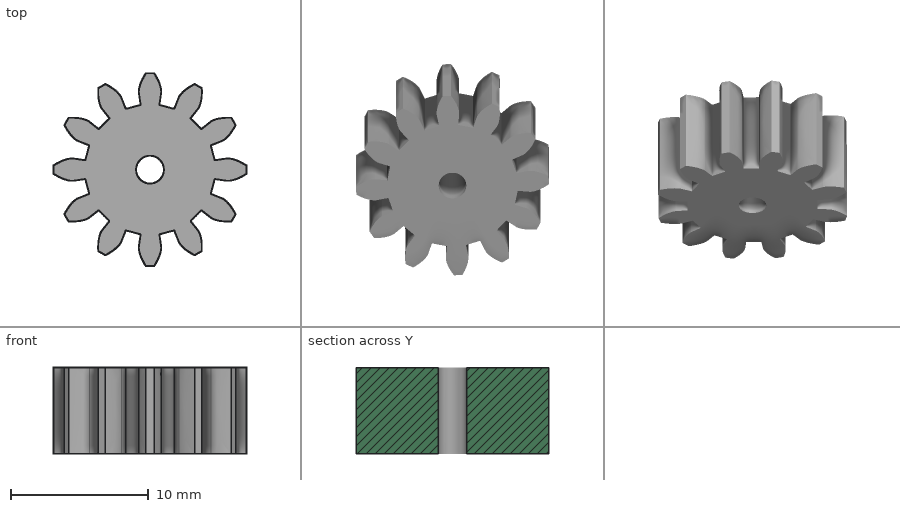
import cadquery as cq
import math

outer_diameter = 13.99
tooth_count = 12
face_width = 6.25
bore_diameter = 2.0
pressure_angle = math.radians(20)
dedendum_factor = 1.25
flank_segments = 6

module = outer_diameter / (tooth_count + 2)
outer_radius = outer_diameter / 2
pitch_radius = module * tooth_count / 2
base_radius = pitch_radius * math.cos(pressure_angle)
root_radius = pitch_radius - dedendum_factor * module
tooth_pitch = 2 * math.pi / tooth_count


def involute(angle):
    """Polar angle swept by the involute at the given pressure angle."""
    return math.tan(angle) - angle


base_half_angle = tooth_pitch / 4 + involute(pressure_angle)
tip_half_angle = base_half_angle - involute(math.acos(base_radius / outer_radius))

tip_corner_radius = outer_radius / math.cos(tip_half_angle)


def polar(radius, angle):
    return (radius * math.cos(angle), radius * math.sin(angle))


def flank_points(tooth_angle, side):
    """Involute from base circle to tip corner; side is -1 or +1 from the tooth centre."""
    tip_roll = math.sqrt((tip_corner_radius / base_radius) ** 2 - 1)
    points = []
    for step in range(flank_segments + 1):
        roll = tip_roll * step / flank_segments
        radius = base_radius * math.hypot(1, roll)
        half_angle = base_half_angle - involute(math.atan(roll))
        points.append(polar(radius, tooth_angle + side * half_angle))
    return points


def gear_outline():
    """Teeth with flat tips and involute flanks, radial below the base circle, and flat roots."""
    outline = cq.Workplane("XY").moveTo(*polar(root_radius, -base_half_angle))
    for tooth in range(tooth_count):
        tooth_angle = tooth * tooth_pitch
        rising = flank_points(tooth_angle, -1)
        falling = flank_points(tooth_angle, 1)[::-1]
        if tooth > 0:
            outline = outline.lineTo(*polar(root_radius, tooth_angle - base_half_angle))
        outline = outline.lineTo(*rising[0])
        outline = outline.spline(rising[1:], includeCurrent=True)
        outline = outline.lineTo(*falling[0])
        outline = outline.spline(falling[1:], includeCurrent=True)
        outline = outline.lineTo(*polar(root_radius, tooth_angle + base_half_angle))
    return outline.close()


gear_blank = gear_outline().extrude(face_width)
bore = cq.Workplane("XY").circle(bore_diameter / 2).extrude(face_width)

result = gear_blank.cut(bore)